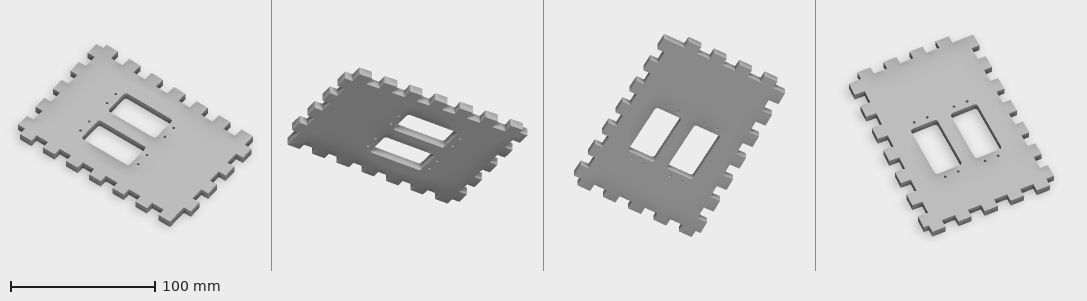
import cadquery as cq
import math

length = 142.0
overall_width = 99.8
thickness = 6.0
tab_depth = thickness
bottom_modules = 13
side_modules = 9

body_length = length - 2 * tab_depth
module = body_length / bottom_modules

slant_angle = 2.0
slant_tab_depth = 7.5
peak_height = overall_width - tab_depth

window_length = 41.2
window_width = 20.5
window_corner_radius = 2.0
window_center_x = 56.7
lower_window_y = 26.8
window_pitch = 30.5
hole_diameter = 2.0
hole_spacing_x = 5 * module
hole_spacing_y = module


def block(x, y, size_x, size_y):
    """Full-thickness box with its lower left corner at (x, y)."""
    return cq.Workplane("XY").box(size_x, size_y, thickness, centered=False).translate((x, y, 0))


def make_body():
    """Plate without side and bottom tabs, closed by the slanted tip line."""
    right_height = peak_height - body_length * math.tan(math.radians(slant_angle))
    outline = [(0, 0), (body_length, 0), (body_length, right_height), (0, peak_height)]
    return cq.Workplane("XY").polyline(outline).close().extrude(thickness)


def cut_slanted_gaps(plate):
    """Cut the gaps of the top edge square to the slant."""
    slope = math.tan(math.radians(slant_angle))
    for step in range(1, bottom_modules, 2):
        x = step * module
        gap = block(0, -slant_tab_depth, module, 2 * slant_tab_depth)
        gap = gap.rotate((0, 0, 0), (0, 0, 1), -slant_angle)
        plate = plate.cut(gap.translate((x, peak_height - x * slope, 0)))
    return plate


def add_square_tabs(plate):
    """Add the tabs of the bottom, left and right edges."""
    for step in range(0, bottom_modules, 2):
        plate = plate.union(block(step * module, -tab_depth, module, tab_depth))
    for step in range(side_modules):
        tab_x = -tab_depth if step % 2 == 0 else body_length
        plate = plate.union(block(tab_x, step * module, tab_depth, module))
    return plate


def cut_window(plate, center_y):
    """Cut one rounded window and the four holes around it."""
    center = (window_center_x, center_y, 0)
    window = cq.Workplane("XY", origin=center).rect(window_length, window_width).extrude(thickness)
    window = window.edges("|Z").fillet(window_corner_radius)
    holes = (
        cq.Workplane("XY", origin=center)
        .rect(hole_spacing_x, hole_spacing_y, forConstruction=True)
        .vertices()
        .circle(hole_diameter / 2)
        .extrude(thickness)
    )
    return plate.cut(window).cut(holes)


result = make_body()
result = cut_slanted_gaps(result)
result = add_square_tabs(result)
for window_y in (lower_window_y, lower_window_y + window_pitch):
    result = cut_window(result, window_y)